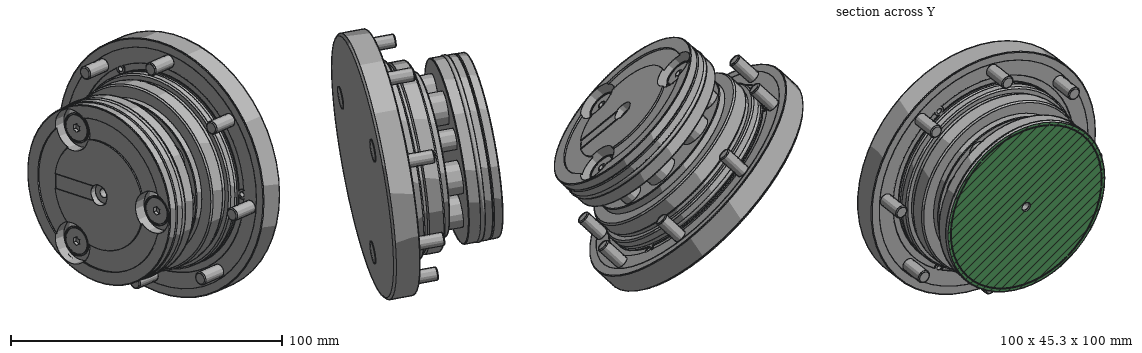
import cadquery as cq
import math

OVERLAP = 0.5

FLANGE_RADIUS = 50.0
FLANGE_THICKNESS = 10.0
FLANGE_BACK_CHAMFER = 0.9
FLANGE_FRONT_CHAMFER = 0.3
RIM_INNER_RADIUS = 46.5
RIM_HEIGHT = 0.1

SEAL_GROOVE_END = 1.9
SEAL_GROOVE_RADIUS = 36.0
COLLAR_RADIUS = 37.7
COLLAR_END = 4.8
COLLAR_CHAMFER = 0.6
RELIEF_RADIUS = 35.4
SHOULDER_RADIUS = 36.0
SHOULDER_START = 6.2
SHOULDER_END = 12.8
SHOULDER_CHAMFER = 0.6
SPIGOT_RADIUS = 31.0
SPIGOT_END = 15.7
SPIGOT_CHAMFER = 0.3

DISC_RADIUS = 34.9
DISC_FRONT_RADIUS = 34.8
DISC_START = 21.8
DISC_END = 35.0
DISC_CHAMFER = 0.3
DISC_GROOVE_START = 26.4
DISC_GROOVE_END = 28.2
DISC_GROOVE_RADIUS = 33.5
JOINT_POSITION = 31.3
JOINT_DEPTH = 0.4

SEAL_SECTION_RADIUS = 0.9
NECK_SEAL_OUTER_RADIUS = 37.6
DISC_SEAL_OUTER_RADIUS = 35.2

FACE_GROOVE_INNER_RADIUS = 21.4
FACE_GROOVE_OUTER_RADIUS = 29.7
FACE_GROOVE_DEPTH = 0.7
SLOT_WIDTH = 5.8
SLOT_DEPTH = 0.3
CENTRE_BORE_DIAMETER = 8.0
CENTRE_BORE_DEPTH = 2.8
DRILL_DIAMETER = 3.5
DRILL_DEPTH = 5.0
DRILL_TIP_HALF_ANGLE = 59.0

SCREW_CIRCLE_RADIUS = 26.0
SCREW_ANGLES = [0, 120, 240]
SEAT_DIAMETER = 16.2
SEAT_RIM_DEPTH = 4.8
SCREW_FACE_DEPTH = 2.5
SCREW_RECESS_DIAMETER = 11.5
SCREW_HEAD_DIAMETER = 10.3
SCREW_GAP_DEPTH = 0.5
SOCKET_CORNER_DIAMETER = 3.3
SOCKET_DEPTH = 1.5
SPACER_DIAMETER = 8.0

PILLAR_DIAMETER = 12.5
PILLAR_CIRCLE_RADIUS = 23.0
PILLAR_ANGLES = [35, 85, 155, 205, 275, 325]

PIN_DIAMETER = 5.0
PIN_LENGTH = 10.3
PIN_CHAMFER = 0.4
PIN_CIRCLE_RADIUS = 43.6
PIN_COUNT = 8
PIN_START_ANGLE = -5

RING_RECESS_RADIUS = 40.3
RING_RECESS_DEPTH = 0.5
DOWEL_HOLE_DIAMETER = 2.0
DOWEL_HOLE_DEPTH = 3.0
DOWEL_CIRCLE_RADIUS = 39.4
DOWEL_LAND_RADIUS = 1.9

PAD_DIAMETER = 8.5
PAD_HEIGHT = 0.3
PAD_CIRCLE_RADIUS = 34.0


def polar(radius, angle):
    """Point (x, z) on a circle about the Y axis."""
    return (radius * math.cos(math.radians(angle)), radius * math.sin(math.radians(angle)))


def rod(diameter, y_start, y_end, centre=(0, 0)):
    """Cylinder along Y between two Y positions."""
    x, z = centre
    return cq.Workplane(
        cq.Solid.makeCylinder(diameter / 2, abs(y_end - y_start), cq.Vector(x, min(y_start, y_end), z),
                              cq.Vector(0, 1, 0))
    )


def cone(y_start, diameter_start, y_end, diameter_end, centre=(0, 0)):
    """Cone along +Y between two Y positions, with a diameter at each."""
    x, z = centre
    return cq.Workplane(
        cq.Solid.makeCone(diameter_start / 2, diameter_end / 2, y_end - y_start,
                          cq.Vector(x, y_start, z), cq.Vector(0, 1, 0))
    )


def turned(points):
    """Solid of revolution about Y from (radius, y) points."""
    return cq.Workplane("XY").polyline(points).close().revolve(360, (0, 0, 0), (0, 1, 0))


def seal_ring(outer_radius, y):
    """Round-section seal ring about Y."""
    centre_radius = outer_radius - SEAL_SECTION_RADIUS
    return (
        cq.Workplane("XY", origin=(centre_radius, y, 0))
        .transformed(rotate=(0, 0, 180))
        .circle(SEAL_SECTION_RADIUS)
        .revolve(360, (centre_radius, 0, 0), (centre_radius, 1, 0))
    )


def flange_and_neck():
    return turned([
        (0, FLANGE_THICKNESS),
        (FLANGE_RADIUS - FLANGE_BACK_CHAMFER, FLANGE_THICKNESS),
        (FLANGE_RADIUS, FLANGE_THICKNESS - FLANGE_BACK_CHAMFER),
        (FLANGE_RADIUS, FLANGE_FRONT_CHAMFER),
        (FLANGE_RADIUS - FLANGE_FRONT_CHAMFER, 0),
        (RIM_INNER_RADIUS, 0),
        (RIM_INNER_RADIUS, RIM_HEIGHT),
        (SEAL_GROOVE_RADIUS, RIM_HEIGHT),
        (SEAL_GROOVE_RADIUS, -SEAL_GROOVE_END),
        (COLLAR_RADIUS, -SEAL_GROOVE_END),
        (COLLAR_RADIUS, -COLLAR_END + COLLAR_CHAMFER),
        (COLLAR_RADIUS - COLLAR_CHAMFER, -COLLAR_END),
        (RELIEF_RADIUS, -COLLAR_END),
        (RELIEF_RADIUS, -SHOULDER_START),
        (SHOULDER_RADIUS, -SHOULDER_START - SHOULDER_CHAMFER),
        (SHOULDER_RADIUS, -SHOULDER_END + SHOULDER_CHAMFER),
        (SHOULDER_RADIUS - SHOULDER_CHAMFER, -SHOULDER_END),
        (SPIGOT_RADIUS, -SHOULDER_END),
        (SPIGOT_RADIUS, -SPIGOT_END + SPIGOT_CHAMFER),
        (SPIGOT_RADIUS - SPIGOT_CHAMFER, -SPIGOT_END),
        (0, -SPIGOT_END),
    ])


def nose_disc():
    return turned([
        (0, -DISC_START),
        (DISC_RADIUS - DISC_CHAMFER, -DISC_START),
        (DISC_RADIUS, -DISC_START - DISC_CHAMFER),
        (DISC_RADIUS, -DISC_GROOVE_START),
        (DISC_GROOVE_RADIUS, -DISC_GROOVE_START),
        (DISC_GROOVE_RADIUS, -DISC_GROOVE_END),
        (DISC_RADIUS, -DISC_GROOVE_END),
        (DISC_RADIUS, -JOINT_POSITION + JOINT_DEPTH),
        (DISC_RADIUS - JOINT_DEPTH, -JOINT_POSITION),
        (DISC_FRONT_RADIUS, -JOINT_POSITION - JOINT_DEPTH),
        (DISC_FRONT_RADIUS, -DISC_END + DISC_CHAMFER),
        (DISC_FRONT_RADIUS - DISC_CHAMFER, -DISC_END),
        (0, -DISC_END),
    ])


def add_seals(body):
    body = body.union(seal_ring(NECK_SEAL_OUTER_RADIUS, -SEAL_GROOVE_END / 2))
    return body.union(seal_ring(DISC_SEAL_OUTER_RADIUS, -(DISC_GROOVE_START + DISC_GROOVE_END) / 2))


def add_pillars(body):
    y_back = -SPIGOT_END + OVERLAP
    y_front = -DISC_START - OVERLAP
    for angle in SCREW_ANGLES:
        body = body.union(rod(SPACER_DIAMETER, y_back, y_front, polar(SCREW_CIRCLE_RADIUS, angle)))
    for angle in PILLAR_ANGLES:
        body = body.union(rod(PILLAR_DIAMETER, y_back, y_front, polar(PILLAR_CIRCLE_RADIUS, angle)))
    return body


def cut_nose_face(body):
    """Annular face groove, radial slot and stepped centre bore."""
    floor = -DISC_END + FACE_GROOVE_DEPTH
    groove = rod(2 * FACE_GROOVE_OUTER_RADIUS, -DISC_END, floor)
    groove = groove.cut(rod(2 * FACE_GROOVE_INNER_RADIUS, -DISC_END, floor))
    slot = cq.Workplane("XY").box(
        FACE_GROOVE_INNER_RADIUS, SLOT_DEPTH, SLOT_WIDTH, centered=(False, False, True)
    ).translate((-FACE_GROOVE_INNER_RADIUS, -DISC_END, 0))
    bore_floor = -DISC_END + CENTRE_BORE_DEPTH
    drill_floor = bore_floor + DRILL_DEPTH
    tip_length = DRILL_DIAMETER / 2 / math.tan(math.radians(DRILL_TIP_HALF_ANGLE))
    body = body.cut(groove).cut(slot)
    body = body.cut(rod(CENTRE_BORE_DIAMETER, -DISC_END, bore_floor))
    body = body.cut(rod(DRILL_DIAMETER, bore_floor, drill_floor))
    return body.cut(cone(drill_floor, DRILL_DIAMETER, drill_floor + tip_length, 0))


def cut_screw_seats(body):
    """Round seats, each with a cone rising to a screw head that stands in a narrow ring gap."""
    head_face = -DISC_END + SCREW_FACE_DEPTH
    seat_rim = -DISC_END + SEAT_RIM_DEPTH
    for angle in SCREW_ANGLES:
        centre = polar(SCREW_CIRCLE_RADIUS, angle)
        seat = rod(SEAT_DIAMETER, -DISC_END, seat_rim, centre)
        seat = seat.cut(cone(head_face, SCREW_RECESS_DIAMETER, seat_rim, SEAT_DIAMETER, centre))
        gap = rod(SCREW_RECESS_DIAMETER, head_face, head_face + SCREW_GAP_DEPTH, centre)
        gap = gap.cut(rod(SCREW_HEAD_DIAMETER, head_face, head_face + SCREW_GAP_DEPTH, centre))
        socket = (
            cq.Workplane("XZ", origin=(centre[0], head_face, centre[1]))
            .transformed(rotate=(0, 0, 30))
            .polygon(6, SOCKET_CORNER_DIAMETER)
            .extrude(-SOCKET_DEPTH)
        )
        body = body.cut(seat).cut(gap).cut(socket)
    return body


def cut_ring_recess(body):
    """Shallow recess around the neck, leaving a round land about each dowel hole."""
    face = RIM_HEIGHT
    floor = face + RING_RECESS_DEPTH
    recess = rod(2 * RING_RECESS_RADIUS, face, floor).cut(rod(2 * COLLAR_RADIUS, face, floor))
    centres = [polar(DOWEL_CIRCLE_RADIUS, angle) for angle in SCREW_ANGLES]
    for centre in centres:
        recess = recess.cut(rod(2 * DOWEL_LAND_RADIUS, face, floor, centre))
    body = body.cut(recess)
    for centre in centres:
        body = body.cut(rod(DOWEL_HOLE_DIAMETER, face, face + DOWEL_HOLE_DEPTH, centre))
    return body


def add_pins(body):
    for index in range(PIN_COUNT):
        centre = polar(PIN_CIRCLE_RADIUS, PIN_START_ANGLE + index * 360 / PIN_COUNT)
        pin = rod(PIN_DIAMETER, OVERLAP, -PIN_LENGTH, centre).faces("<Y").chamfer(PIN_CHAMFER)
        body = body.union(pin)
    return body


def add_back_pads(body):
    for angle in SCREW_ANGLES:
        centre = polar(PAD_CIRCLE_RADIUS, angle)
        pad = rod(PAD_DIAMETER, FLANGE_THICKNESS - OVERLAP, FLANGE_THICKNESS + PAD_HEIGHT, centre)
        body = body.union(pad)
    return body


result = flange_and_neck().union(nose_disc())
result = add_pillars(result)
result = cut_nose_face(result)
result = cut_screw_seats(result)
result = cut_ring_recess(result)
result = add_seals(result)
result = add_pins(result)
result = add_back_pads(result)